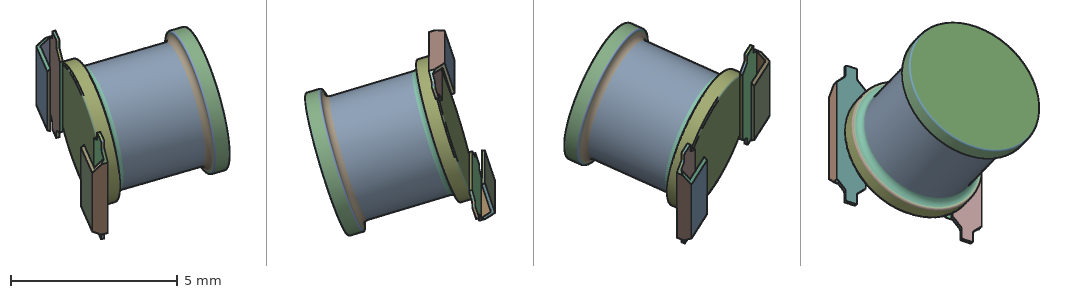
import cadquery as cq

FLANGE_RADIUS = 2.25
CORE_RADIUS = 1.95
BOBBIN_LENGTH = 4.0
FLANGE_THICKNESS = 0.5
NECK_FILLET = 0.2
RIM_FILLET = 0.05

TERMINAL_SPAN = 5.0
TERMINAL_HEIGHT = 5.0
TERMINAL_WIDTH = 1.0
TERMINAL_DEPTH = 0.5
SHEET = 0.1
TAB_WIDTH = 0.4
TAB_LENGTH = 0.4
TAB_TIP_FILLET = 0.05
TAB_ROOT_FILLET = 0.1
FOOT_HEIGHT = 3.0

SELECT_TOLERANCE = 0.01

FLANGE_FACE = TERMINAL_DEPTH
BOBBIN_BACK = FLANGE_FACE + BOBBIN_LENGTH


def bobbin():
    """Core with a flange at each end, filleted at the necks and rims."""
    neck_front = FLANGE_FACE + FLANGE_THICKNESS
    neck_back = BOBBIN_BACK - FLANGE_THICKNESS
    profile = (
        cq.Workplane("XY")
        .moveTo(0, FLANGE_FACE)
        .lineTo(FLANGE_RADIUS, FLANGE_FACE)
        .lineTo(FLANGE_RADIUS, neck_front)
        .lineTo(CORE_RADIUS, neck_front)
        .lineTo(CORE_RADIUS, neck_back)
        .lineTo(FLANGE_RADIUS, neck_back)
        .lineTo(FLANGE_RADIUS, BOBBIN_BACK)
        .lineTo(0, BOBBIN_BACK)
        .close()
    )
    body = profile.revolve(360, (0, 0, 0), (0, 1, 0))

    def circles(radius):
        """Circular edges of the body with the given radius."""
        return [e for e in body.edges("%CIRCLE").vals() if abs(e.radius() - radius) < SELECT_TOLERANCE]

    body = body.newObject(circles(CORE_RADIUS)).fillet(NECK_FILLET)
    return body.newObject(circles(FLANGE_RADIUS)).fillet(RIM_FILLET)


def plate_outline(outer_x, center_x):
    """Prism of the terminal seen along Y: a plate tapering at 45 degrees to a tab at each end."""
    inner_x = outer_x + TERMINAL_WIDTH
    tab_left = center_x - TAB_WIDTH / 2
    tab_right = center_x + TAB_WIDTH / 2
    tip_z = TERMINAL_HEIGHT / 2
    root_z = tip_z - TAB_LENGTH
    shoulder_z = root_z - (TERMINAL_WIDTH - TAB_WIDTH) / 2
    upper_points = [
        (outer_x, shoulder_z),
        (tab_left, root_z),
        (tab_left, tip_z),
        (tab_right, tip_z),
        (tab_right, root_z),
        (inner_x, shoulder_z),
    ]
    lower_points = [(x, -z) for x, z in reversed(upper_points)]
    prism = (
        cq.Workplane("XZ")
        .polyline(upper_points + lower_points)
        .close()
        .extrude(-TERMINAL_DEPTH)
    )

    def tab_edges(z_level):
        """Edges on both sides of both tabs at the given distance from mid-height."""
        def on_tab(edge):
            center = edge.Center()
            x_error = abs(abs(center.x - center_x) - TAB_WIDTH / 2)
            z_error = abs(abs(center.z) - z_level)
            return max(x_error, z_error) < SELECT_TOLERANCE

        return [e for e in prism.edges("|Y").vals() if on_tab(e)]

    prism = prism.newObject(tab_edges(root_z)).fillet(TAB_ROOT_FILLET)
    return prism.newObject(tab_edges(tip_z)).fillet(TAB_TIP_FILLET)


def folded_sheet(outer_x):
    """C-shaped sheet section: plate on the flange, side wall and front lip."""
    inner_x = outer_x + TERMINAL_WIDTH
    wall_x = outer_x + SHEET
    return (
        cq.Workplane("XY")
        .workplane(offset=-TERMINAL_HEIGHT / 2)
        .polyline([
            (inner_x, TERMINAL_DEPTH),
            (outer_x, TERMINAL_DEPTH),
            (outer_x, 0),
            (inner_x, 0),
            (inner_x, SHEET),
            (wall_x, SHEET),
            (wall_x, TERMINAL_DEPTH - SHEET),
            (inner_x, TERMINAL_DEPTH - SHEET),
        ])
        .close()
        .extrude(TERMINAL_HEIGHT)
    )


def side_outline(outer_x):
    """Prism of the terminal seen along X: wall and lip ends slope at 45 degrees down to the foot."""
    plate_y = TERMINAL_DEPTH - SHEET
    foot_z = FOOT_HEIGHT / 2
    slope_top_z = foot_z + plate_y
    tip_z = TERMINAL_HEIGHT / 2
    upper_points = [(0, foot_z), (plate_y, slope_top_z), (plate_y, tip_z), (TERMINAL_DEPTH, tip_z)]
    lower_points = [(y, -z) for y, z in reversed(upper_points)]
    return (
        cq.Workplane("YZ")
        .workplane(offset=outer_x)
        .polyline(upper_points + lower_points)
        .close()
        .extrude(TERMINAL_WIDTH)
    )


def left_terminal():
    """Terminal on the -X side: the folded sheet trimmed to its two outlines."""
    outer_x = -TERMINAL_SPAN / 2
    center_x = outer_x + TERMINAL_WIDTH / 2
    trimmed = folded_sheet(outer_x).intersect(side_outline(outer_x))
    return trimmed.intersect(plate_outline(outer_x, center_x))


terminal = left_terminal()
result = bobbin().union(terminal).union(terminal.mirror("YZ"))